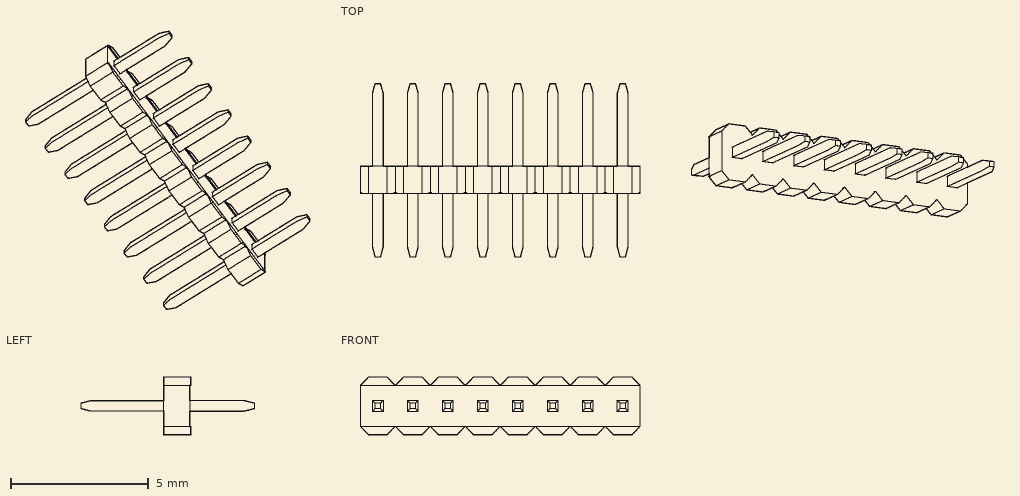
import cadquery as cq


pin_count = 8
pitch = 1.27
row_length = pin_count * pitch

housing_height = 2.1
housing_depth = 1.0
ridge_flat = 0.67
band_height = 1.48
front_recess = 0.04

pin_width = 0.4
front_pin_height = pin_width
rear_pin_height = 0.39
overall_depth = 6.3
rear_length = 3.0
front_tip_length = 0.38
rear_tip_length = 0.35
tip_size = 0.2

rear_tip_y = rear_length
front_tip_y = rear_length - overall_depth
housing_front_y = -housing_depth
pin_step_y = housing_front_y / 2

pin_places = [(i - (pin_count - 1) / 2) * pitch for i in range(pin_count)]


def section_plane(x, y):
    """Plane across the pin axis, facing +Y, with local X along -X and local Y along Z."""
    return cq.Plane(origin=(x, y, 0), xDir=(-1, 0, 0), normal=(0, 1, 0))


def make_tip(x, base_y, base_height, tip_y):
    """Tapered end running from the full pin section to the small end face."""
    return (
        cq.Workplane(section_plane(x, base_y))
        .rect(pin_width, base_height)
        .workplane(offset=tip_y - base_y)
        .rect(tip_size, tip_size)
        .loft(ruled=True)
    )


def make_shank(x, start_y, end_y, height):
    """Straight stretch of a pin."""
    return cq.Workplane(section_plane(x, start_y)).rect(pin_width, height).extrude(end_y - start_y)


def make_pin(x):
    """One pin: a taller front shank and a lower rear shank, tapered at both ends."""
    front_base_y = front_tip_y + front_tip_length
    rear_base_y = rear_tip_y - rear_tip_length
    front_shank = make_shank(x, front_base_y, pin_step_y, front_pin_height)
    rear_shank = make_shank(x, pin_step_y, rear_base_y, rear_pin_height)
    front_tip = make_tip(x, front_base_y, front_pin_height, front_tip_y)
    rear_tip = make_tip(x, rear_base_y, rear_pin_height, rear_tip_y)
    return front_shank.union(rear_shank).union(front_tip).union(rear_tip)


def make_segment(x):
    """One pitch of the housing: an octagonal block with a ridge above and below."""
    half_pitch = pitch / 2
    half_flat = ridge_flat / 2
    half_band = band_height / 2
    half_height = housing_height / 2
    return (
        cq.Workplane(section_plane(x, housing_front_y))
        .polyline([
            (-half_pitch, -half_band),
            (-half_flat, -half_height),
            (half_flat, -half_height),
            (half_pitch, -half_band),
            (half_pitch, half_band),
            (half_flat, half_height),
            (-half_flat, half_height),
            (-half_pitch, half_band),
        ])
        .close()
        .extrude(housing_depth)
    )


def make_housing(pins):
    """Joined segments with the shallow front recess and a matching hole for every pin."""
    housing = make_segment(pin_places[0])
    for x in pin_places[1:]:
        housing = housing.union(make_segment(x))
    recess = (
        cq.Workplane(section_plane(0, housing_front_y))
        .rect(row_length, band_height)
        .extrude(front_recess)
    )
    housing = housing.cut(recess)
    for pin in pins:
        housing = housing.cut(pin)
    return housing


pins = [make_pin(x) for x in pin_places]
housing = make_housing(pins)

result = cq.Compound.makeCompound([housing.val(), *[pin.val() for pin in pins]])